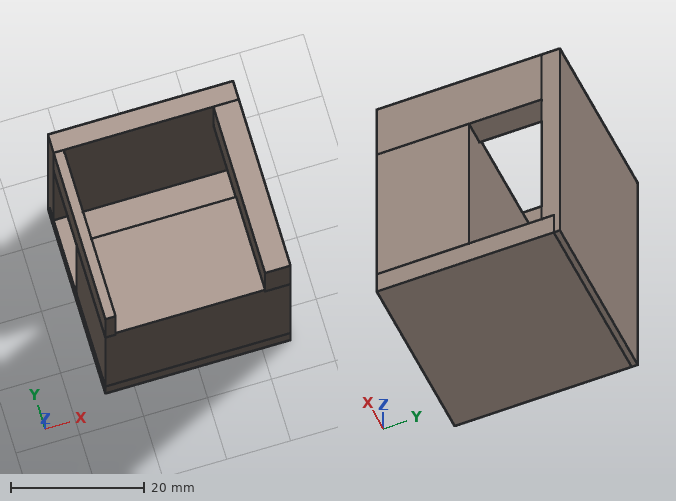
import cadquery as cq

WIDTH = 29.0
DEPTH = 30.0
HEIGHT = 42.0

BACK_THICKNESS = 3.0
BASE_THICKNESS = 4.0
LEFT_RAIL_THICKNESS = 1.6
RIGHT_RAIL_THICKNESS = 4.0

BLOCK_DEPTH = 15.1
BLOCK_TOP = 32.5

BASE_TONGUE = 2.0
RAIL_SEAT = 0.9

BACK_FRONT_Y = DEPTH - BACK_THICKNESS
RAIL_BOTTOM = BLOCK_TOP - RAIL_SEAT


def box_between(low, high):
    """Box spanning two opposite corners."""
    size = [end - start for start, end in zip(low, high)]
    return cq.Workplane("XY").box(*size, centered=False).translate(low)


def make_base():
    """Floor plate whose rear edge sits in the back panel."""
    return box_between((0, 0, 0), (WIDTH, BACK_FRONT_Y + BASE_TONGUE, BASE_THICKNESS))


def make_rail(x_start, thickness):
    """Side rail running from the front to the back panel."""
    return box_between(
        (x_start, 0, RAIL_BOTTOM),
        (x_start + thickness, BACK_FRONT_Y, HEIGHT),
    )


base = make_base()
left_rail = make_rail(0, LEFT_RAIL_THICKNESS)
right_rail = make_rail(WIDTH - RIGHT_RAIL_THICKNESS, RIGHT_RAIL_THICKNESS)


def make_back():
    """Full-height rear panel with a rebate for the base."""
    panel = box_between((0, BACK_FRONT_Y, 0), (WIDTH, DEPTH, HEIGHT))
    return panel.cut(base)


def make_block():
    """Front block with a seat for each rail along its top edges."""
    block = box_between((0, 0, BASE_THICKNESS), (WIDTH, BLOCK_DEPTH, BLOCK_TOP))
    return block.cut(left_rail).cut(right_rail)


back = make_back()
block = make_block()

result = cq.Compound.makeCompound(
    [base.val(), back.val(), block.val(), left_rail.val(), right_rail.val()]
)